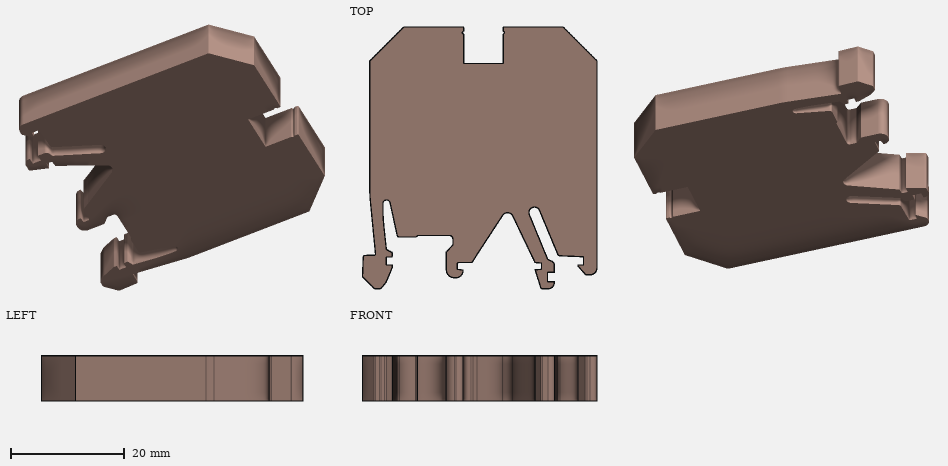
import cadquery as cq
import math

thickness = 8.0
total_height = 46.0
foot_overhang = 1.3
body_width = 41.2 - foot_overhang

chamfer = 6.0
notch_center = 19.95
notch_width = 6.9
notch_floor = total_height - 6.4
groove_depth = 0.28
groove_height = 0.65
groove_center = total_height - 1.0
lip_radius = 0.2

arm_bend_y = 16.38
left_recess_y = 9.05
rail_seat_y = 9.35
middle_hook_y = 1.95
middle_ledge_y = 4.6
right_hook_y = 2.45


spring_foot = [
    (0, arm_bend_y, 14.25),
    (1.0, 5.95, 0.15),
    (-1.15, 5.9, 0.35),
    (-foot_overhang, 2.1, 0.15),
    (0.85, 0, 0.35),
    (1.9, 0, 0.35),
    (2.85, 1.05, 1.85),
    (3.95, 3.7, 0.35),
    (3.95, 4.25, 0),
    (2.95, 4.25, 0),
    (2.95, 5.55, 0),
    (3.95, 5.55, 0.25),
    (3.95, 6.4, 0.15),
    (2.95, 6.9, 0.2),
    (2.35, 12.5, 27.6),
]

spring_slot_and_rail_seat = [
    (2.35, 15.6, 0.6),
    (3.45, 15.6, 0.6),
    (4.88, left_recess_y, 0.45),
    (8.1, left_recess_y, 0),
    (8.4, rail_seat_y, 0),
    (14.6, rail_seat_y, 0.55),
    (14.6, 7.7, 0.1),
]

middle_hook = [
    (13.45, 6.5, 0.1),
    (13.45, middle_hook_y, 1.43),
    (16.35, middle_hook_y, 1.3),
    (16.4, 3.3, 0),
    (15.4, 3.45, 0),
    (15.4, middle_ledge_y, 0.2),
    (18.0, middle_ledge_y, 0.35),
]

v_gap = [
    (18.85, 6.03, 0),
    (24.35, 14.4, 1.0),
]

slanted_arm = [
    (29.03, middle_ledge_y, 0.1),
    (30.15, 4.5, 0),
    (30.15, 3.45, 0),
    (29.03, 3.35, 0),
    (30.1, 0, 0.35),
    (32.45, 0, 1.1),
    (32.45, 1.3, 0),
    (31.25, 1.3, 0),
    (31.25, 2.9, 0),
    (32.45, 2.9, 0),
    (32.45, 4.7, 0.85),
    (31.3, 5.15, 0.25),
]

slanted_slot = [
    (27.7, 13.9, 0.9),
    (29.45, 14.65, 0.9),
    (33.1, 5.8, 0.45),
]

right_hook = [
    (37.55, 5.6, 0),
    (37.55, 4.25, 0),
    (36.4, 4.2, 0.15),
    (37.95, right_hook_y, 0.35),
    (body_width, right_hook_y, 1.3),
]


def notch_side(side):
    """Corners of one notch wall from its lip down; side is +1 for right, -1 for left."""
    wall_x = notch_center + side * notch_width / 2
    return [
        (wall_x, total_height, lip_radius),
        (wall_x, groove_center + groove_height / 2, 0),
        (wall_x + side * groove_depth, groove_center, 0),
        (wall_x, groove_center - groove_height / 2, 0),
        (wall_x, notch_floor, 0),
    ]


upper_edge = [
    (body_width, total_height - chamfer, 0),
    (body_width - chamfer, total_height, 0),
    *notch_side(1),
    *reversed(notch_side(-1)),
    (chamfer, total_height, 0),
    (0, total_height - chamfer, 0),
]


def corner_arc(before, corner, after):
    """Start, middle and end of the arc that rounds a corner."""
    x, y, radius = corner
    point = cq.Vector(x, y)
    to_before = (cq.Vector(*before[:2]) - point).normalized()
    to_after = (cq.Vector(*after[:2]) - point).normalized()
    half_angle = to_before.getAngle(to_after) / 2
    tangent_length = radius / math.tan(half_angle)
    middle_distance = radius / math.sin(half_angle) - radius
    bisector = (to_before + to_after).normalized()
    return (
        point + to_before * tangent_length,
        point + bisector * middle_distance,
        point + to_after * tangent_length,
    )


def rounded_outline(corners):
    """Closed wire through the corners, each rounded by its own radius."""
    edges = []
    first = None
    last = None
    for index, corner in enumerate(corners):
        if corner[2] > 0:
            following = corners[(index + 1) % len(corners)]
            start, middle, end = corner_arc(corners[index - 1], corner, following)
        else:
            start = end = cq.Vector(*corner[:2])
        if last is None:
            first = start
        else:
            edges.append(cq.Edge.makeLine(last, start))
        if corner[2] > 0:
            edges.append(cq.Edge.makeThreePointArc(start, middle, end))
        last = end
    edges.append(cq.Edge.makeLine(last, first))
    return cq.Wire.assembleEdges(edges)


outline = rounded_outline(
    spring_foot
    + spring_slot_and_rail_seat
    + middle_hook
    + v_gap
    + slanted_arm
    + slanted_slot
    + right_hook
    + upper_edge
)

result = cq.Workplane("XY").add(outline).toPending().extrude(thickness)